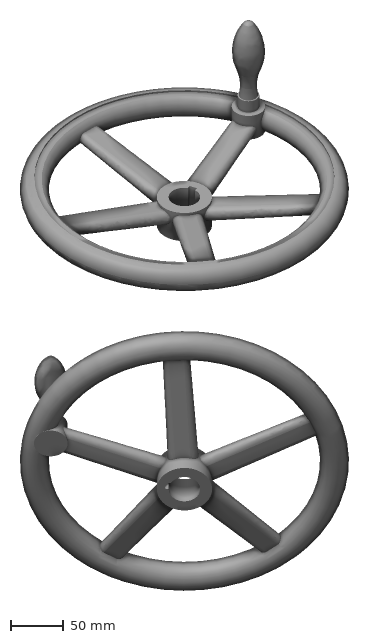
import cadquery as cq

outer_radius = 157.5
rim_tube_radius = 14.0
rim_center_radius = outer_radius - rim_tube_radius
rim_center_z = 42.2
rim_bottom_z = rim_center_z - rim_tube_radius
rim_top_z = rim_center_z + rim_tube_radius
ledge_depth = 2.0
ledge_outer_radius = 143.5

hub_radius = 26.5
hub_height = 33.0
bore_radius = 15.0
keyway_width = 8.0
keyway_top_y = 18.3

spoke_count = 5
spoke_flat_width = 14.5
spoke_inner_radius = 21.5
spoke_inner_thickness = 15.0
spoke_inner_z = 21.7
spoke_outer_radius = 137.0
spoke_outer_thickness = 11.5
spoke_outer_z = 41.0

handle_y = 132.3
boss_radius = 16.0

collar_radius = 10.5
collar_top_z = 69.3
neck_base_radius = 9.0
neck_radius = 8.2
neck_z = 82.0
grip_base_radius = 10.7
grip_base_z = 97.5
grip_radius = 15.8
grip_widest_z = 122.2
tip_radius = 5.0
tip_base_z = 153.7
handle_top_z = 156.0


def dome_radius(base_radius, height):
    """Radius of the sphere whose cap has this base radius and height."""
    return (base_radius**2 + height**2) / (2 * height)


def tangent_arc_radius(rise, spread):
    """Radius of an arc that leaves the vertical and moves sideways by spread over rise."""
    return (rise**2 + spread**2) / (2 * spread)


def make_rim():
    ring = cq.Workplane("XY").add(
        cq.Solid.makeTorus(rim_center_radius, rim_tube_radius, cq.Vector(0, 0, rim_center_z))
    )
    ledge = (
        cq.Workplane("XY", origin=(0, 0, rim_top_z - ledge_depth))
        .circle(ledge_outer_radius)
        .extrude(2 * ledge_depth)
    )
    return ring.cut(ledge)


def make_hub():
    return cq.Workplane("XY").circle(hub_radius).extrude(hub_height)


def make_spoke(angle):
    return (
        cq.Workplane("YZ", origin=(spoke_inner_radius, 0, spoke_inner_z))
        .slot2D(spoke_flat_width + spoke_inner_thickness, spoke_inner_thickness)
        .workplane(offset=spoke_outer_radius - spoke_inner_radius)
        .center(0, spoke_outer_z - spoke_inner_z)
        .slot2D(spoke_flat_width + spoke_outer_thickness, spoke_outer_thickness)
        .loft(ruled=True)
        .rotate((0, 0, 0), (0, 0, 1), angle)
    )


def make_boss():
    return (
        cq.Workplane("XY", origin=(0, handle_y, rim_bottom_z))
        .circle(boss_radius)
        .extrude(rim_top_z - rim_bottom_z)
    )


def make_handle():
    lower_neck_arc = tangent_arc_radius(neck_z - collar_top_z, neck_base_radius - neck_radius)
    upper_neck_arc = tangent_arc_radius(grip_base_z - neck_z, grip_base_radius - neck_radius)
    tip_arc = dome_radius(tip_radius, handle_top_z - tip_base_z)
    return (
        cq.Workplane("XZ", origin=(0, handle_y, 0))
        .moveTo(0, rim_bottom_z)
        .lineTo(collar_radius, rim_bottom_z)
        .lineTo(collar_radius, collar_top_z)
        .lineTo(neck_base_radius, collar_top_z)
        .radiusArc((neck_radius, neck_z), lower_neck_arc)
        .radiusArc((grip_base_radius, grip_base_z), upper_neck_arc)
        .threePointArc((grip_radius, grip_widest_z), (tip_radius, tip_base_z))
        .radiusArc((0, handle_top_z), -tip_arc)
        .close()
        .revolve(360, (0, 0), (0, 1))
    )


def make_keyed_bore():
    bore = cq.Workplane("XY").circle(bore_radius).extrude(hub_height)
    keyway = (
        cq.Workplane("XY")
        .center(0, keyway_top_y / 2)
        .rect(keyway_width, keyway_top_y)
        .extrude(hub_height)
    )
    return bore.union(keyway)


wheel = make_rim().union(make_boss()).union(make_handle()).union(make_hub())

for spoke_index in range(spoke_count):
    wheel = wheel.union(make_spoke(90 + spoke_index * 360 / spoke_count))

wheel = wheel.cut(make_keyed_bore())
result = cq.Workplane("XY").add(wheel.solids().vals())